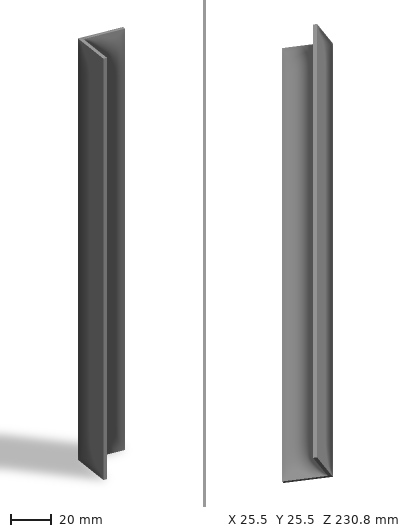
import cadquery as cq

length = 230.8
leg_width = 25.5
thickness = 2.0

section = [
    (0, 0),
    (leg_width, 0),
    (leg_width, thickness),
    (thickness, thickness),
    (thickness, leg_width),
    (0, leg_width),
]

result = cq.Workplane("XY").polyline(section).close().extrude(length)